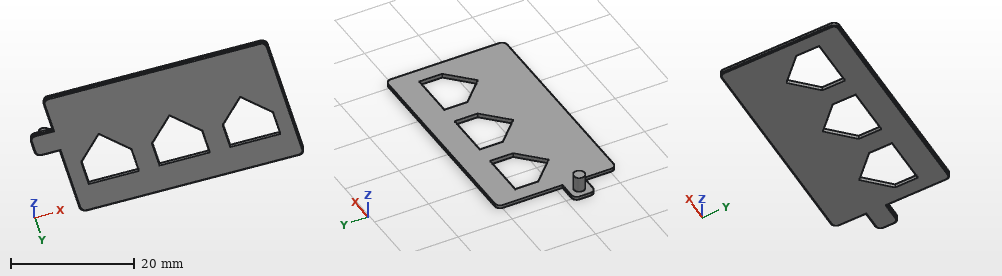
import cadquery as cq

plate_length = 38.0
plate_width = 22.0
plate_thickness = 0.8
corner_radius = 1.0
bottom_chamfer = 0.2

tab_length = 4.0
tab_width = 4.0
tab_center_y = -3.0

pin_diameter = 2.0
pin_height = 2.8
pin_center_x = -plate_length / 2 - tab_length / 2

window_count = 3
window_pitch = 12.0
window_size = 8.5
window_center_y = 2.0


def make_plate():
    """Rounded plate with its tab, chamfered around the bottom outline."""
    body = (
        cq.Workplane("XY")
        .rect(plate_length, plate_width)
        .extrude(plate_thickness)
        .edges("|Z")
        .fillet(corner_radius)
    )
    tab = (
        cq.Workplane("XY")
        .center(-plate_length / 2, tab_center_y)
        .rect(2 * tab_length, tab_width)
        .extrude(plate_thickness)
        .edges("|Z and <X")
        .fillet(corner_radius)
    )
    return body.union(tab).faces("<Z").edges().chamfer(bottom_chamfer)


def make_window(center_x):
    """Through cutter: flat top, straight upper sides, 45 degree point towards -Y."""
    half = window_size / 2
    return (
        cq.Workplane("XY")
        .center(center_x, window_center_y)
        .moveTo(-half, half)
        .lineTo(half, half)
        .lineTo(half, 0)
        .lineTo(0, -half)
        .lineTo(-half, 0)
        .close()
        .extrude(plate_thickness)
    )


def make_pin():
    """Round pin on the top face of the tab."""
    return (
        cq.Workplane("XY")
        .workplane(offset=plate_thickness)
        .center(pin_center_x, tab_center_y)
        .circle(pin_diameter / 2)
        .extrude(pin_height)
    )


result = make_plate()
for index in range(window_count):
    window_x = (index - (window_count - 1) / 2) * window_pitch
    result = result.cut(make_window(window_x))
result = result.union(make_pin())